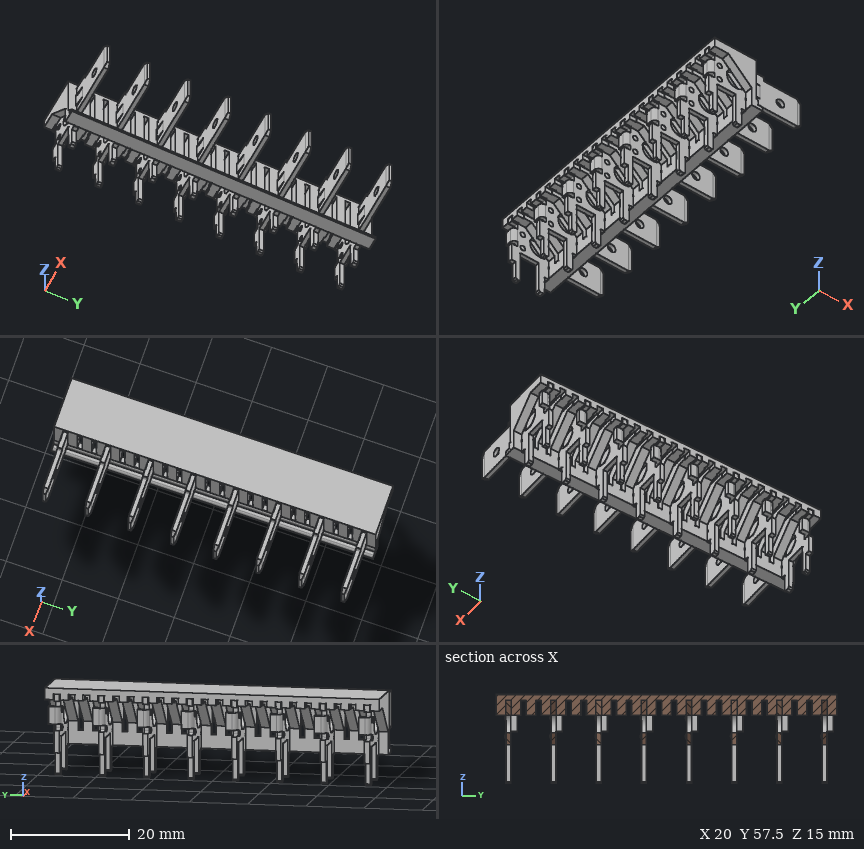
import cadquery as cq

STRIP_LENGTH = 57.45
TOP_Z = 15.0
TERMINAL_COUNT = 8
END_MARGIN = 2.05
PITCH = (STRIP_LENGTH - 2 * END_MARGIN) / (TERMINAL_COUNT - 1)
SLOTS_PER_PITCH = 3
SLOT_PITCH = PITCH / SLOTS_PER_PITCH
SLOT_COUNT = SLOTS_PER_PITCH * (TERMINAL_COUNT - 1) + 1
SHEET = 0.85

WALL_INNER_X = 8.0
WALL_OUTER_X = 9.0
HOUSING_BOTTOM_Z = 4.1
LIP_BOTTOM_Z = 13.0
SLOPE_TOP_X = 3.0
SLOPE_BOTTOM_Z = 8.05

LEDGE_TOP_Z = 6.15
LEDGE_DEPTH = 0.35
TOE_TOP_Z = 4.95
TOE_X = 10.4
TOE_RADIUS = 0.45

SLOT_BOTTOM_Z = 6.5
SLOT_TOP_Z = 13.95
LIP_NOTCH_WIDTH = 1.15
LIP_NOTCH_DEPTH = 1.4

ARM_BOTTOM_Z = 12.75
NOTCH_X = 1.4
NOTCH_FILLET = 0.3
TAB_FILLET = 0.145
LEG_TOP_Z = 7.7
SHOULDER_Z = 3.9
LEGS_GAP_TOP_Z = 6.5
REAR_PIN_X = (0.85, 1.9)
FRONT_PIN_X = (5.85, 7.1)
PIN_TIP_CHAMFER = 0.3

BLADE_AXIS_Z = 10.0
WINDOW_X = 6.0
WINDOW_DIAMETER = 4.0

BLADE_END_X = 20.0
BLADE_STEP_X = 11.95
BLADE_TOP_Z = 13.1
STEP_FILLET = 0.2
BLADE_BOTTOM_Z = 6.85
TIP_LENGTH = 0.9
TIP_CORNER = 0.7
TIP_THICKNESS = 0.5
BLADE_HOLE_X = 15.5
BLADE_HOLE_DIAMETER = 1.65

BARB_END_X = 11.1
BARB_WIDTH = 3.0
BARB_HEIGHT = 0.2

TAB_REAR_X = 0.35
TAB_BOTTOM_Z = 8.75
TAB_TOP_Z = 11.7
TAB_REACH = 1.5

BUMP_X = 2.4
BUMP_Z = (7.95, 11.05)
BUMP_DIAMETER = 1.05
BUMP_HEIGHT = 0.2


def box(x_range, y_range, z_range):
    """Box that spans the given ranges."""
    spans = (x_range, y_range, z_range)
    sizes = [high - low for low, high in spans]
    return cq.Workplane("XY").box(*sizes, centered=False).translate([low for low, _ in spans])


def cylinder_y(x, z, diameter, y_start, y_end):
    """Cylinder along Y."""
    return (
        cq.Workplane("XZ", origin=(x, y_start, z))
        .circle(diameter / 2)
        .extrude(y_start - y_end)
    )


def housing_profile():
    """Cross-section of the strip: top lip, sloped underside, front wall and toe."""
    ledge_x = WALL_OUTER_X + LEDGE_DEPTH
    return (
        cq.Workplane("XZ")
        .moveTo(0, TOP_Z)
        .lineTo(WALL_OUTER_X, TOP_Z)
        .lineTo(WALL_OUTER_X, LEDGE_TOP_Z)
        .radiusArc((ledge_x, LEDGE_TOP_Z - LEDGE_DEPTH), LEDGE_DEPTH)
        .lineTo(ledge_x, TOE_TOP_Z)
        .lineTo(TOE_X - TOE_RADIUS, TOE_TOP_Z)
        .radiusArc((TOE_X, TOE_TOP_Z - TOE_RADIUS), TOE_RADIUS)
        .lineTo(TOE_X, HOUSING_BOTTOM_Z)
        .lineTo(WALL_INNER_X, HOUSING_BOTTOM_Z)
        .lineTo(WALL_INNER_X, SLOPE_BOTTOM_Z)
        .lineTo(SLOPE_TOP_X, LIP_BOTTOM_Z)
        .lineTo(0, LIP_BOTTOM_Z)
        .close()
    )


def make_housing():
    body = housing_profile().extrude(-STRIP_LENGTH)
    slot_z = (SLOT_BOTTOM_Z, SLOT_TOP_Z)
    for i in range(SLOT_COUNT):
        y = END_MARGIN + i * SLOT_PITCH
        slot = box((0, WALL_OUTER_X), (y - SHEET / 2, y + SHEET / 2), slot_z)
        notch_y = (y - LIP_NOTCH_WIDTH / 2, y + LIP_NOTCH_WIDTH / 2)
        body = body.cut(slot).cut(box((0, LIP_NOTCH_DEPTH), notch_y, slot_z))
    return body


def make_plate():
    """Flat part of the terminal: rear plate, two pins and the blade."""
    tip_x = BLADE_END_X - TIP_LENGTH
    rear_pin_start, rear_pin_end = REAR_PIN_X
    front_pin_start, front_pin_end = FRONT_PIN_X
    outline = [
        (0, SLOT_TOP_Z),
        (BLADE_STEP_X, SLOT_TOP_Z),
        (BLADE_STEP_X, BLADE_TOP_Z),
        (tip_x, BLADE_TOP_Z),
        (BLADE_END_X, BLADE_TOP_Z - TIP_CORNER),
        (BLADE_END_X, BLADE_BOTTOM_Z + TIP_CORNER),
        (tip_x, BLADE_BOTTOM_Z),
        (WALL_INNER_X, BLADE_BOTTOM_Z),
        (WALL_INNER_X, SHOULDER_Z),
        (front_pin_end, SHOULDER_Z),
        (front_pin_end, 0),
        (front_pin_start, 0),
        (front_pin_start, LEGS_GAP_TOP_Z),
        (rear_pin_end, LEGS_GAP_TOP_Z),
        (rear_pin_end, 0),
        (rear_pin_start, 0),
        (rear_pin_start, SHOULDER_Z),
        (0, SHOULDER_Z),
        (0, LEG_TOP_Z),
        (NOTCH_X, LEG_TOP_Z),
        (NOTCH_X, ARM_BOTTOM_Z),
        (0, ARM_BOTTOM_Z),
    ]
    plate = cq.Workplane("XZ").polyline(outline).close().extrude(SHEET / 2, both=True)
    return plate.faces("<Z").edges("|Y").chamfer(PIN_TIP_CHAMFER)


def tip_relief(side):
    """Wedge that thins the blade end on the side Y > 0 (side = 1) or Y < 0 (side = -1)."""
    tip_x = BLADE_END_X - TIP_LENGTH
    wedge = [
        (tip_x, side * SHEET / 2),
        (BLADE_END_X, side * SHEET / 2),
        (BLADE_END_X, side * TIP_THICKNESS / 2),
    ]
    return cq.Workplane("XY").polyline(wedge).close().extrude(TOP_Z)


def make_tab():
    """Tab bent from the rear edge of the plate toward +Y, with a rounded outer bend."""
    face_y = SHEET / 2
    bend_end_x = TAB_REAR_X + SHEET
    return (
        cq.Workplane("XY", origin=(0, 0, TAB_BOTTOM_Z))
        .moveTo(NOTCH_X, -face_y)
        .lineTo(bend_end_x, -face_y)
        .radiusArc((TAB_REAR_X, face_y), SHEET)
        .lineTo(TAB_REAR_X, TAB_REACH)
        .lineTo(bend_end_x, TAB_REACH)
        .lineTo(bend_end_x, face_y)
        .lineTo(NOTCH_X, face_y)
        .close()
        .extrude(TAB_TOP_Z - TAB_BOTTOM_Z)
    )


def make_barb():
    """Ramp on the blade that holds it against the outer face of the housing."""
    ramp = [
        (WALL_OUTER_X, -SHEET / 2),
        (WALL_OUTER_X, -SHEET / 2 - BARB_HEIGHT),
        (BARB_END_X, -SHEET / 2),
    ]
    bottom_z = BLADE_AXIS_Z - BARB_WIDTH / 2
    return cq.Workplane("XY", origin=(0, 0, bottom_z)).polyline(ramp).close().extrude(BARB_WIDTH)


def make_bump(z):
    """Pointed bump on the near face of the plate."""
    cone = cq.Solid.makeCone(
        BUMP_DIAMETER / 2, 0, BUMP_HEIGHT, pnt=(BUMP_X, -SHEET / 2, z), dir=(0, -1, 0)
    )
    return cq.Workplane(cone)


def fillet_corner(body, x, z, radius):
    """Round the edge of the sheet that runs along Y at the given X and Z."""
    margin = 0.005
    corner = cq.selectors.BoxSelector(
        (x - margin, -SHEET, z - margin), (x + margin, SHEET, z + margin)
    )
    return body.edges("|Y").edges(corner).fillet(radius)


def make_terminal():
    body = make_plate().union(make_tab())
    for z in (LEG_TOP_Z, ARM_BOTTOM_Z):
        body = fillet_corner(body, NOTCH_X, z, NOTCH_FILLET)
    for z in (TAB_BOTTOM_Z, TAB_TOP_Z):
        body = fillet_corner(body, NOTCH_X, z, TAB_FILLET)
    body = fillet_corner(body, BLADE_STEP_X, BLADE_TOP_Z, STEP_FILLET)
    for side in (-1, 1):
        body = body.cut(tip_relief(side))
    body = body.cut(cylinder_y(WINDOW_X, BLADE_AXIS_Z, WINDOW_DIAMETER, -SHEET, SHEET))
    body = body.cut(cylinder_y(BLADE_HOLE_X, BLADE_AXIS_Z, BLADE_HOLE_DIAMETER, -SHEET, SHEET))
    body = body.union(make_barb())
    for z in BUMP_Z:
        body = body.union(make_bump(z))
    return body


housing = make_housing()
terminal = make_terminal()
terminals = [
    terminal.translate((0, END_MARGIN + i * PITCH, 0)).val() for i in range(TERMINAL_COUNT)
]

result = cq.Compound.makeCompound([housing.val(), *terminals])